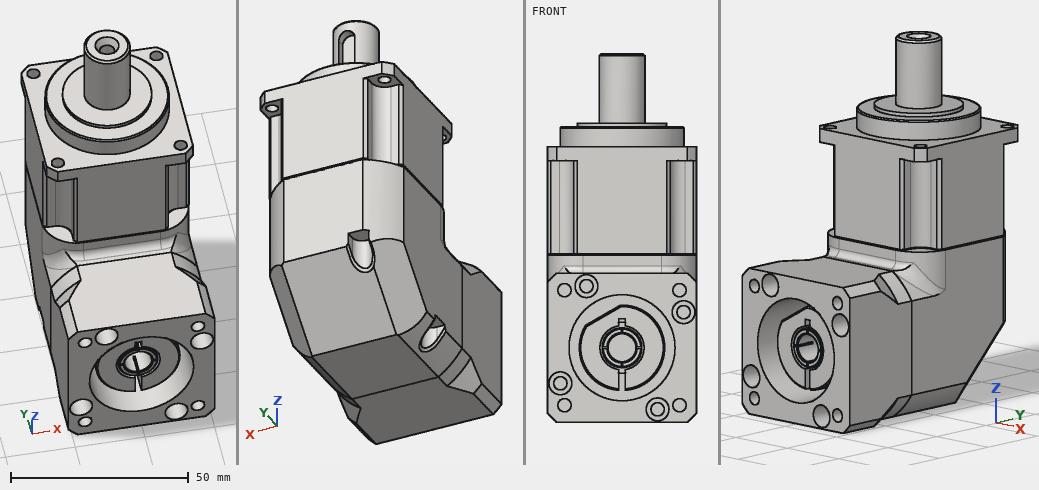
import cadquery as cq
import math

square = 42.0
half = square / 2
input_axis_z = half
total_depth = 71.0
margin = 0.1

shaft_diameter = 13.0
shaft_radius = shaft_diameter / 2
shaft_top = 103.8
shaft_chamfer = 0.6
shoulder_radius = 12.6
shoulder_top = 84.3
centre_hole_radius = 2.1
centre_hole_depth = 10.4
centre_tip_depth = 1.2
centre_mouth_radius = 3.3
centre_mouth_depth = 2.1
key_width = 5.0
key_depth = 3.0
key_bottom = 86.8
key_top = 100.5

pilot_diameter = 35.0
pilot_top = 83.2
pilot_chamfer = 0.4
flange_top = 77.6
flange_bottom = 73.7
joint_z = 47.1
corner_radius = 27.9
bottom_chamfer = 0.4
flange_hole_offset = 17.6
flange_hole_radius = 1.8
relief_radius = 4.0
relief_chamfer = 0.9

joint_y = -24.8
back_round = 24.4
front_fillet = 10.0
horizontal_round = 25.0
flat_fillet = 2.1
round_fillet = 5.0
elbow_reach = 41.5
slant_distance = 0.8
slant_edge = 7.8
pocket_radius = 3.0
pocket_inset = 18.4
pocket_offset = 10.9
pocket_chamfer = 0.6
pocket_seats = {90: 24.0, 180: 9.2}

adapter_front = half - total_depth
cone_start = -30.4
cone_end = -37.4
bore_radius = 14.9
bolt_circle = 20.0
bolt_angle = 30.0
bolt_head_radius = 3.2
bolt_hole_radius = 1.9
bolt_seat = 5.6
motor_hole_offset = 16.2
motor_hole_radius = 1.9
motor_hole_depth = 10.4

hub_depth = 4.7
hub_front = adapter_front + hub_depth
collar_length = 12.5
collar_radius = 12.0
collar_chamfer = 0.4
collar_flat = 10.6
flat_angle = 120.0
collar_bore = 6.2
sleeve_radius = 5.6
sleeve_bore = 3.9
sleeve_chamfer = 0.3
sleeve_slit_width = 0.5
sleeve_slit_depth = 6.2
tube_radius = 7.2
slit_width = 1.9
slit_top = 8.2


def square_prism(bottom, top):
    return cq.Workplane("XY").workplane(offset=bottom).rect(square, square).extrude(top - bottom)


def vertical_cylinder(radius, bottom, top):
    return cq.Workplane("XY").workplane(offset=bottom).circle(radius).extrude(top - bottom)


def input_plane(y):
    """Plane across the input axis at y, facing -Y, with local up along Z."""
    return cq.Workplane(cq.Plane((0, y, input_axis_z), (1, 0, 0), (0, -1, 0)))


def polar(radius, angle):
    turn = math.radians(angle)
    return radius * math.cos(turn), radius * math.sin(turn)


def make_shaft():
    body = vertical_cylinder(shoulder_radius, pilot_top, shoulder_top)
    body = body.union(
        vertical_cylinder(shaft_radius, pilot_top, shaft_top).faces(">Z").chamfer(shaft_chamfer)
    )
    centre_hole = (
        cq.Workplane("XZ")
        .moveTo(0, shaft_top)
        .lineTo(centre_mouth_radius, shaft_top)
        .lineTo(centre_hole_radius, shaft_top - centre_mouth_depth)
        .lineTo(centre_hole_radius, shaft_top - centre_hole_depth)
        .lineTo(0, shaft_top - centre_hole_depth - centre_tip_depth)
        .close()
        .revolve(360, (0, 0), (0, 1))
    )
    keyway = (
        cq.Workplane("XZ", origin=(0, shaft_radius - key_depth, (key_bottom + key_top) / 2))
        .slot2D(key_top - key_bottom, key_width, 90)
        .extrude(-shaft_radius)
    )
    return body.cut(centre_hole).cut(keyway)


def corner_groove():
    """Concave groove for one upright edge of the housing, in line with the flange hole."""
    inner = flange_hole_offset - relief_radius
    lip = half - relief_chamfer
    arc_mid = flange_hole_offset - relief_radius * math.sqrt(0.5)
    return (
        cq.Workplane("XY")
        .workplane(offset=joint_z)
        .moveTo(inner - relief_chamfer, half)
        .lineTo(inner, lip)
        .lineTo(inner, flange_hole_offset)
        .threePointArc((arc_mid, arc_mid), (flange_hole_offset, inner))
        .lineTo(lip, inner)
        .lineTo(half, inner - relief_chamfer)
        .lineTo(half, half)
        .close()
        .extrude(flange_bottom - joint_z)
    )


def make_flange():
    flange = square_prism(flange_bottom, flange_top)
    flange = flange.intersect(vertical_cylinder(corner_radius, flange_bottom, flange_top))
    holes = (
        cq.Workplane("XY")
        .workplane(offset=flange_bottom)
        .rect(2 * flange_hole_offset, 2 * flange_hole_offset, forConstruction=True)
        .vertices()
        .circle(flange_hole_radius)
        .extrude(flange_top - flange_bottom)
    )
    return flange.cut(holes)


def make_housing():
    body = square_prism(joint_z, flange_bottom)
    for quarter in range(4):
        body = body.cut(corner_groove().rotate((0, 0, 0), (0, 0, 1), 90 * quarter))
    body = body.faces("<Z").chamfer(bottom_chamfer)
    pilot = vertical_cylinder(pilot_diameter / 2, flange_top, pilot_top)
    pilot = pilot.faces(">Z").chamfer(pilot_chamfer)
    return body.union(make_flange()).union(pilot)


def make_elbow():
    flat_arm = cq.Workplane("XY").rect(2 * elbow_reach, 2 * elbow_reach).extrude(square)
    round_arm = input_plane(elbow_reach).circle(horizontal_round).extrude(2 * elbow_reach)
    bend = filleted_bend(flat_arm, flat_fillet).intersect(filleted_bend(round_arm, round_fillet))

    bend_top = square + flat_fillet
    bend = bend.intersect(cq.Workplane("XY").rect(2 * elbow_reach, 2 * elbow_reach).extrude(bend_top))
    body = bend.intersect(elbow_envelope()).union(
        elbow_envelope().intersect(front_rounded_upright(bend_top))
    )
    body = body.intersect(slant_envelope())
    for side, seat in pocket_seats.items():
        body = cut_screw_pocket(body, side, seat)
    return body


def elbow_envelope():
    """Square outer limits of the elbow, rounded about the output axis at the back."""
    back = square_prism(0, joint_z).intersect(vertical_cylinder(back_round, 0, joint_z))
    front = cq.Workplane("XY").box(square, -joint_y, joint_z, centered=(True, False, False))
    return back.union(front.translate((0, joint_y, 0)))


def front_rounded_upright(bottom):
    """Oversized square column with rounded front edges."""
    column = cq.Workplane("XY").box(
        square, half + elbow_reach, elbow_reach, centered=(True, False, False)
    )
    return column.translate((0, -half, bottom)).edges("|Z and <Y").fillet(front_fillet)


def filleted_bend(arm, fillet):
    """Oversized arm along Y carrying the upright, filleted where they meet."""
    upright = front_rounded_upright(input_axis_z)
    bend = arm.union(upright)
    seam = cq.selectors.BoxSelector(
        (-half - margin, -half - margin, input_axis_z + margin),
        (half + margin, elbow_reach + margin, input_axis_z + horizontal_round + 2 * margin),
        boundingbox=True,
    )
    return bend.edges(seam).fillet(fillet)


def slant_envelope():
    """Prism along the slanted back face, with both of its edges chamfered."""
    reach = 2 * square
    plane = cq.Plane((0, 0, 0), (1, 0, 0), (0, 1, 1))
    profile = [
        (-half, -reach),
        (half, -reach),
        (half, slant_distance - slant_edge),
        (half - slant_edge, slant_distance),
        (slant_edge - half, slant_distance),
        (-half, slant_distance - slant_edge),
    ]
    return cq.Workplane(plane).polyline(profile).close().extrude(reach, both=True)


def cut_screw_pocket(body, side, seat):
    """Cut an upright slot from below that opens outwards on this side, and chamfer its rim."""
    body = body.rotate((0, 0, 0), (0, 0, 1), -side)
    rounded_end = cq.Workplane("XY").center(pocket_inset, pocket_offset).circle(pocket_radius).extrude(seat)
    opening = (
        cq.Workplane("XY")
        .center(half, pocket_offset)
        .rect(2 * (half - pocket_inset), 2 * pocket_radius)
        .extrude(seat)
    )
    body = body.cut(rounded_end.union(opening))
    rim = cq.selectors.BoxSelector(
        (pocket_inset - pocket_radius - margin, pocket_offset - pocket_radius - margin, margin),
        (half + margin, pocket_offset + pocket_radius + margin, seat - margin),
        boundingbox=True,
    )
    return body.edges(rim).chamfer(pocket_chamfer).rotate((0, 0, 0), (0, 0, 1), side)


def make_adapter():
    length = joint_y - adapter_front
    block = input_plane(joint_y).rect(square, square).extrude(length)
    rounding = (
        cq.Workplane("XY")
        .moveTo(0, joint_y)
        .lineTo(horizontal_round, joint_y)
        .lineTo(horizontal_round, cone_start)
        .lineTo(corner_radius, cone_end)
        .lineTo(corner_radius, adapter_front)
        .lineTo(0, adapter_front)
        .close()
        .revolve(360, (0, 0), (0, 1))
        .translate((0, 0, input_axis_z))
    )
    bolts = [polar(bolt_circle, bolt_angle + 90 * quarter) for quarter in range(4)]
    bore = input_plane(joint_y).circle(bore_radius).extrude(length)
    bolt_holes = input_plane(joint_y).pushPoints(bolts).circle(bolt_hole_radius).extrude(length)
    head_holes = (
        input_plane(joint_y - bolt_seat).pushPoints(bolts).circle(bolt_head_radius).extrude(length)
    )
    motor_holes = (
        input_plane(adapter_front + motor_hole_depth)
        .rect(2 * motor_hole_offset, 2 * motor_hole_offset, forConstruction=True)
        .vertices()
        .circle(motor_hole_radius)
        .extrude(motor_hole_depth)
    )
    return block.intersect(rounding).cut(bore).cut(bolt_holes).cut(head_holes).cut(motor_holes)


def make_collar():
    """Clamping ring with one flat, slit through below the axis and part-way above it."""
    back = hub_front + collar_length
    collar = input_plane(back).circle(collar_radius).extrude(collar_length)
    beyond_flat = (
        input_plane(back)
        .transformed(rotate=(0, 0, flat_angle))
        .center(collar_flat + collar_radius, 0)
        .rect(2 * collar_radius, 4 * collar_radius)
        .extrude(collar_length)
    )
    collar = collar.cut(beyond_flat).faces("<Y").chamfer(collar_chamfer)
    bore = input_plane(back).circle(collar_bore).extrude(collar_length)
    slit = (
        input_plane(back)
        .center(0, (slit_top - collar_radius) / 2)
        .rect(slit_width, slit_top + collar_radius)
        .extrude(collar_length)
    )
    return collar.cut(bore).cut(slit)


def make_sleeve():
    """Bored sleeve with a crossed slit in its front and a thicker tube behind the collar."""
    length = joint_y - hub_front
    sleeve = input_plane(joint_y).circle(sleeve_radius).extrude(length)
    tube = input_plane(joint_y).circle(tube_radius).extrude(length - collar_length)
    bore = input_plane(joint_y).circle(sleeve_bore).extrude(length)
    sleeve = sleeve.union(tube).cut(bore).faces("<Y").chamfer(sleeve_chamfer)
    for turn in (0, 90):
        slit = (
            input_plane(hub_front + sleeve_slit_depth)
            .transformed(rotate=(0, 0, turn))
            .rect(sleeve_slit_width, 2 * sleeve_radius)
            .extrude(sleeve_slit_depth)
        )
        sleeve = sleeve.cut(slit)
    return sleeve


def make_hub():
    return make_sleeve().union(make_collar())


shaft = make_shaft()
housing = make_housing()
elbow = make_elbow()
adapter = make_adapter()
hub = make_hub()

result = cq.Compound.makeCompound(
    [shaft.val(), housing.val(), elbow.val(), adapter.val(), hub.val()]
)